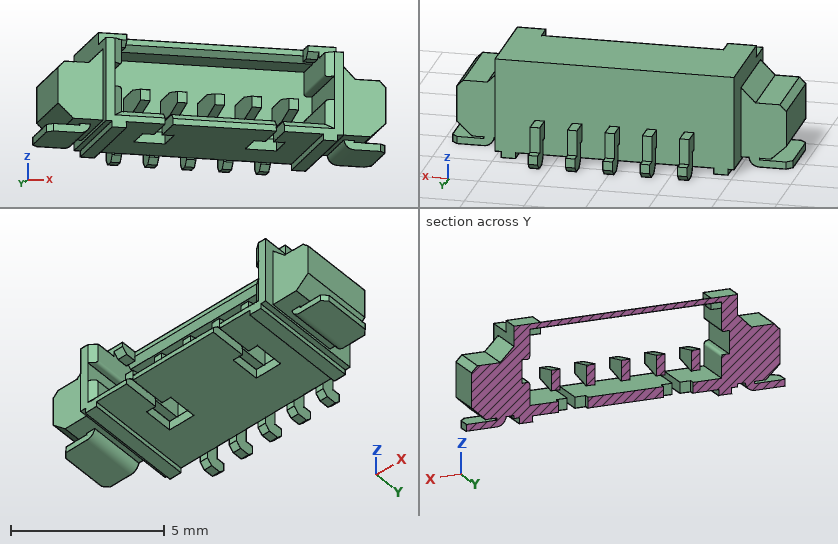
import cadquery as cq


body_width = 8.0
body_depth = 4.2
body_top = 3.4
body_bottom = 0.2
side_wall_top = 3.0
roof_front = 0.98

cavity_width = 6.84
cavity_floor = 0.59
cavity_roof = side_wall_top
cavity_depth = 2.93
groove_width = 7.39
groove_bottom = 1.41
groove_top = 2.17
groove_flare = 0.02
groove_edge_radius = 0.1
mouth_floor = 0.41
mouth_depth = 0.2
roof_bevel = 0.2
roof_notch_width = 6.09
roof_notch_depth = 1.61

slot_spacing = 3.75
slot_width = 0.27
window_width = 1.05
window_front = 1.44
window_back = 2.58

foot_center = 3.56
foot_width = 0.48

contact_count = 5
contact_row_length = 5.0
contact_pitch = contact_row_length / (contact_count - 1)
contact_width = 0.32
contact_bottom = 0.96
contact_top = 1.72
tip_front = 0.68
tip_bottom = 1.14
tip_top = 1.5
tip_taper = 1.03
tail_top = 1.38
tail_underside = 0.79
tail_inner = 4.39
tail_outer = 4.88
tail_end = 5.2
tail_toe_top = 0.51
tail_bevel = 0.2

ear_front = 0.38
ear_back = 3.19
ear_side = 5.52
ear_bottom = 0.31
ear_top = 2.21
ear_root_top = 2.7
ear_slope_end = 4.49
ear_top_bevel = 0.22
ear_bottom_bevel_width = 0.51
ear_bottom_bevel_height = 0.48
tab_front = 1.0
tab_end = 5.7
tab_thickness = 0.25
tab_bend_radius = 0.35
tab_root = 4.26
tab_corner = 0.19


def block(x_range, y_range, z_range):
    """Box spanning the given ranges."""
    size = [high - low for low, high in (x_range, y_range, z_range)]
    return cq.Workplane("XY").box(*size, centered=False).translate((x_range[0], y_range[0], z_range[0]))


def centered_block(width, y_range, z_range, center=0):
    """Box of the given width in X about a center."""
    return block((center - width / 2, center + width / 2), y_range, z_range)


def side_profile(points, width):
    """Solid with a (Y, Z) outline, extruded symmetrically about X = 0."""
    return cq.Workplane("YZ").polyline(points).close().extrude(width / 2, both=True)


def make_housing():
    """Stepped block with a notched roof and two feet."""
    shell = centered_block(body_width, (0, body_depth), (body_bottom, body_top))
    shell = shell.cut(centered_block(body_width, (0, roof_front), (side_wall_top, body_top)))
    shell = shell.cut(centered_block(roof_notch_width, (0, roof_notch_depth), (side_wall_top, body_top)))
    for side in (-1, 1):
        shell = shell.union(centered_block(foot_width, (0, body_depth), (0, body_bottom), side * foot_center))
    return shell


def make_groove():
    """Groove in the -X wall, widening slightly outward."""
    inner = cavity_width / 2
    outer = groove_width / 2
    outline = [
        (-inner, groove_bottom),
        (-outer, groove_bottom - groove_flare),
        (-outer, groove_top + groove_flare),
        (-inner, groove_top),
    ]
    return cq.Workplane("XZ").polyline(outline).close().extrude(-cavity_depth)


def make_cavity():
    """Main pocket with a groove along each side wall."""
    cavity = centered_block(cavity_width, (0, cavity_depth), (cavity_floor, cavity_roof))
    groove = make_groove()
    cavity = cavity.union(groove).union(groove.mirror("YZ"))
    margin = groove_edge_radius
    opening = cq.selectors.BoxSelector(
        (-cavity_width / 2 - margin, -margin, groove_bottom - margin),
        (cavity_width / 2 + margin, cavity_depth + margin, groove_top + margin),
    )
    return cavity.edges("|Y").edges(opening).fillet(groove_edge_radius)


def make_mouth():
    """Flared entry whose floor and sides narrow to the cavity."""
    outer_height = body_top - mouth_floor
    inner_height = body_top - cavity_floor
    return (
        cq.Workplane("XZ")
        .center(0, mouth_floor + outer_height / 2)
        .rect(groove_width, outer_height)
        .workplane(offset=-mouth_depth)
        .center(0, (cavity_floor - mouth_floor) / 2)
        .rect(cavity_width, inner_height)
        .loft(ruled=True)
    )


def make_roof_bevel(front):
    """Wedge that bevels the lower front edge of the roof."""
    points = [
        (front, cavity_roof),
        (front, cavity_roof + roof_bevel),
        (front + roof_bevel, cavity_roof),
    ]
    return side_profile(points, cavity_width)


def make_floor_opening(center):
    """Slot from the mating face, leading to a wider window."""
    slot = centered_block(slot_width, (0, window_front), (body_bottom, cavity_floor), center)
    window = centered_block(window_width, (window_front, window_back), (body_bottom, cavity_floor), center)
    return slot.union(window)


def make_contact():
    """Tapered blade, ending in a hooked tail behind the housing."""
    blade_root = tip_front + tip_taper
    outline = [
        (tip_front, tip_bottom),
        (tip_front, tip_top),
        (blade_root, contact_top),
        (cavity_depth, contact_top),
        (cavity_depth, tail_top),
        (tail_outer, tail_top),
        (tail_outer, tail_toe_top),
        (tail_end, tail_toe_top),
        (tail_end, tail_bevel),
        (tail_end - tail_bevel, 0),
        (tail_inner + tail_bevel, 0),
        (tail_inner, tail_bevel),
        (tail_inner, tail_underside),
        (body_depth, tail_underside),
        (body_depth, contact_bottom),
        (blade_root, contact_bottom),
    ]
    return side_profile(outline, contact_width)


def make_ear():
    """Ear on the -X side."""
    root = body_width / 2
    outline = [
        (-root, ear_root_top),
        (-ear_slope_end, ear_top),
        (-ear_side + ear_top_bevel, ear_top),
        (-ear_side, ear_top - ear_top_bevel),
        (-ear_side, ear_bottom + ear_bottom_bevel_height),
        (-ear_side + ear_bottom_bevel_width, ear_bottom),
        (-root, ear_bottom),
    ]
    return cq.Workplane("XZ", origin=(0, ear_front, 0)).polyline(outline).close().extrude(ear_front - ear_back)


def make_tab():
    """Solder tab on the -X side, bent up into the ear."""
    bend_start = tab_root + tab_bend_radius
    tab = (
        cq.Workplane("XZ", origin=(0, tab_front, 0))
        .moveTo(-tab_end, 0)
        .lineTo(-bend_start, 0)
        .radiusArc((-tab_root, tab_bend_radius), -tab_bend_radius)
        .lineTo(-bend_start, tab_bend_radius)
        .lineTo(-bend_start, tab_thickness)
        .lineTo(-tab_end, tab_thickness)
        .close()
        .extrude(tab_front - ear_back)
    )
    return tab.edges("|Z and <X").chamfer(tab_corner)


result = make_housing().cut(make_cavity()).cut(make_mouth())
result = result.cut(make_roof_bevel(roof_front))
result = result.cut(make_roof_bevel(roof_notch_depth))
for side in (-1, 1):
    result = result.cut(make_floor_opening(side * slot_spacing / 2))

left_mount = make_ear().union(make_tab())
result = result.union(left_mount).union(left_mount.mirror("YZ"))

contact = make_contact()
for index in range(contact_count):
    offset = index * contact_pitch - contact_row_length / 2
    result = result.union(contact.translate((offset, 0, 0)))